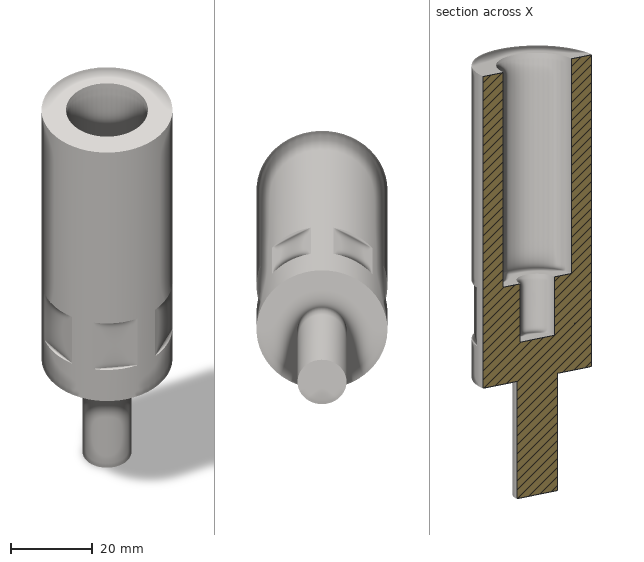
import cadquery as cq

total_height = 110.0
collar_bottom = 30.0
flats_bottom = 40.0
flats_top = 55.0

body_diameter = 32.0
stem_diameter = 12.0
bore_diameter = 20.0
pilot_diameter = 10.0

flat_count = 6
across_flats = 30.0

bore_bottom = flats_top
pilot_bottom = flats_bottom


def cylinder(diameter, bottom, top):
    """Upright cylinder on the Z axis between two heights."""
    return cq.Workplane("XY").workplane(offset=bottom).circle(diameter / 2).extrude(top - bottom)


def flat_cutter(angle):
    """Block that removes the body outside one wrench flat, facing the given angle from +X."""
    depth = body_diameter / 2
    block = cq.Workplane("XY").box(
        depth, body_diameter, flats_top - flats_bottom, centered=(False, True, False)
    )
    block = block.translate((across_flats / 2, 0, flats_bottom))
    return block.rotate((0, 0, 0), (0, 0, 1), angle)


result = cylinder(stem_diameter, 0, collar_bottom)
result = result.union(cylinder(body_diameter, collar_bottom, total_height))

result = result.cut(cylinder(bore_diameter, bore_bottom, total_height))
result = result.cut(cylinder(pilot_diameter, pilot_bottom, bore_bottom))

for index in range(flat_count):
    result = result.cut(flat_cutter(index * 360 / flat_count))